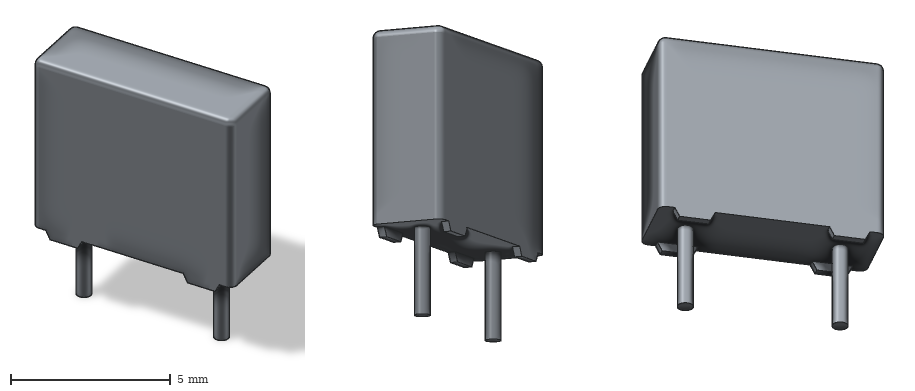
import cadquery as cq

total_height = 9.0
case_length = 7.3
case_width = 2.5
edge_radius = 0.25

lead_diameter = 0.5
lead_pitch = 5.0
lead_length = 2.8
case_height = total_height - lead_length

foot_height = 0.3
foot_thickness = 0.25
foot_root_length = 1.31
foot_tip_length = 1.0

lead_positions = [-lead_pitch / 2, lead_pitch / 2]


def make_foot(center_x, start_y):
    """Trapezoidal foot below the case, extending from start_y toward +Y."""
    half_root = foot_root_length / 2
    half_tip = foot_tip_length / 2
    return (
        cq.Workplane("XZ", origin=(center_x, start_y, 0))
        .moveTo(-half_root, 0)
        .lineTo(half_root, 0)
        .lineTo(half_tip, -foot_height)
        .lineTo(-half_tip, -foot_height)
        .close()
        .extrude(-foot_thickness)
    )


def make_case():
    """Box with rounded upright and top edges, and four feet flush with its long sides."""
    case = (
        cq.Workplane("XY")
        .box(case_length, case_width, case_height, centered=(True, True, False))
        .edges("|Z or >Z")
        .fillet(edge_radius)
    )
    foot_starts = [-case_width / 2, case_width / 2 - foot_thickness]
    for center_x in lead_positions:
        for start_y in foot_starts:
            case = case.union(make_foot(center_x, start_y))
    return case


def make_lead(center_x):
    """Round lead hanging from the underside of the case."""
    return (
        cq.Workplane("XY", origin=(center_x, 0, 0))
        .circle(lead_diameter / 2)
        .extrude(-lead_length)
    )


case = make_case()
leads = [make_lead(center_x).val() for center_x in lead_positions]

result = cq.Compound.makeCompound([case.val(), *leads])